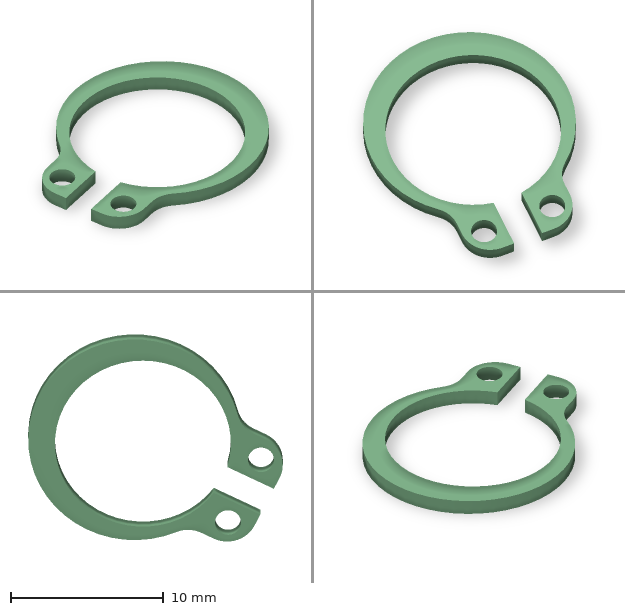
import cadquery as cq
import math

thickness = 1.0
overall_width = 13.9
bore_radius = 5.75
bottom_y = -9.05
overall_length = 16.61
gap_half_width = 1.0
lug_side_x = 3.84
lug_corner_radius = 2.0
neck_radius = 1.95
hole_x = 2.43
hole_y = -7.4
hole_radius = 0.85
outer_radius = overall_width / 2

rim_top_y = bottom_y + overall_length
rim_center_y = rim_top_y - outer_radius

neck_center_x = lug_side_x + neck_radius
center_distance = outer_radius + neck_radius
neck_center_y = rim_center_y - math.sqrt(center_distance**2 - neck_center_x**2)
rim_share = outer_radius / center_distance
rim_end_x = neck_center_x * rim_share
rim_end_y = rim_center_y + (neck_center_y - rim_center_y) * rim_share

rim_direction = math.atan2(rim_end_y - neck_center_y, rim_end_x - neck_center_x)
neck_middle_angle = (rim_direction + math.pi) / 2
neck_middle_x = neck_center_x + neck_radius * math.cos(neck_middle_angle)
neck_middle_y = neck_center_y + neck_radius * math.sin(neck_middle_angle)

corner_center_x = lug_side_x - lug_corner_radius
corner_center_y = bottom_y + lug_corner_radius
corner_middle_x = corner_center_x + lug_corner_radius * math.cos(math.pi / 4)
corner_middle_y = corner_center_y - lug_corner_radius * math.sin(math.pi / 4)

bore_end_y = -math.sqrt(bore_radius**2 - gap_half_width**2)


def ring_blank():
    """Open ring with both lugs, outlined counter-clockwise from the right gap face."""
    return (
        cq.Workplane("XY")
        .moveTo(gap_half_width, bore_end_y)
        .lineTo(gap_half_width, bottom_y)
        .lineTo(corner_center_x, bottom_y)
        .threePointArc((corner_middle_x, corner_middle_y), (lug_side_x, corner_center_y))
        .lineTo(lug_side_x, neck_center_y)
        .threePointArc((neck_middle_x, neck_middle_y), (rim_end_x, rim_end_y))
        .threePointArc((0, rim_top_y), (-rim_end_x, rim_end_y))
        .threePointArc((-neck_middle_x, neck_middle_y), (-lug_side_x, neck_center_y))
        .lineTo(-lug_side_x, corner_center_y)
        .threePointArc((-corner_middle_x, corner_middle_y), (-corner_center_x, bottom_y))
        .lineTo(-gap_half_width, bottom_y)
        .lineTo(-gap_half_width, bore_end_y)
        .threePointArc((0, bore_radius), (gap_half_width, bore_end_y))
        .close()
        .extrude(thickness)
    )


def plier_holes():
    """One through hole in each lug."""
    return (
        cq.Workplane("XY")
        .pushPoints([(-hole_x, hole_y), (hole_x, hole_y)])
        .circle(hole_radius)
        .extrude(thickness)
    )


result = ring_blank().cut(plier_holes())